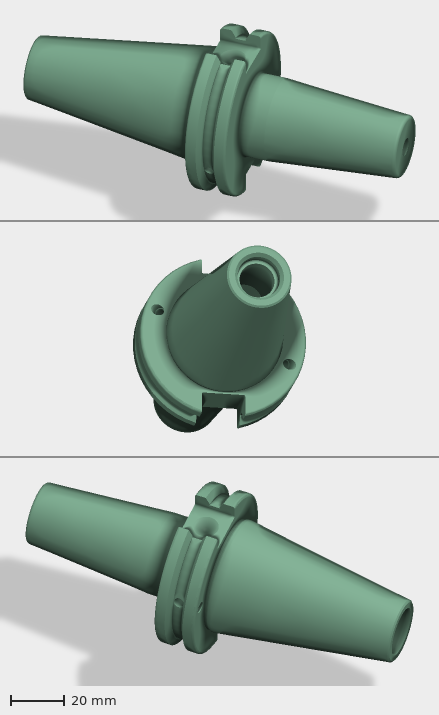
import cadquery as cq
import math


length = 148.2
gauge_x = 68.3
gauge_diameter = 44.5
taper_ratio = 7 / 24
taper_chamfer = 0.6

collar_end_x = 69.5
relief_start_x = 70.4
relief_diameter = 43.6

flange_x = 71.3
flange_width = 16.2
flange_diameter = 63.5
flange_fillet = 1.0

groove_center_x = 79.5
groove_width = 4.0
groove_floor_diameter = 56.6
groove_wall_height = 0.6
groove_slope = math.radians(30)

neck_diameter = 32.0
neck_fillet = 0.7
neck_end_x = 97.5
nose_diameter = 24.2
nose_fillet = 1.3

slot_width = 16.6
slot_top_z = 24.8
slot_bottom_z = 22.5
slot_corner = 0.6
dimple_diameter = 9.5
dimple_tip_angle = math.radians(118)

mouth_diameter = 18.7
mouth_depth = 1.5
pilot_diameter = 16.3
pilot_end_x = 5.0
thread_diameter = 13.3
thread_end_x = 29.6
drill_tip_angle = math.radians(118)
through_diameter = 7.0

coolant_roll = 20.0
coolant_radius = 26.8
coolant_slope = math.radians(35)
coolant_mouth_diameter = 4.2
coolant_mouth_depth = 2.2
coolant_diameter = 3.3
coolant_depth = 11.9
groove_hole_diameter = 3.9
groove_hole_depth = 8.9

flange_end_x = flange_x + flange_width
flange_radius = flange_diameter / 2
groove_floor_radius = groove_floor_diameter / 2
groove_wall_radius = groove_floor_radius + groove_wall_height
groove_half = groove_width / 2
groove_flank = (flange_radius - groove_wall_radius) * math.tan(groove_slope)
taper_small_radius = (gauge_diameter - gauge_x * taper_ratio) / 2


def revolve_about_x(profile):
    return profile.close().revolve(360, (0, 0, 0), (1, 0, 0))


def arc_point(center_x, center_r, radius, degrees):
    angle = math.radians(degrees)
    return (center_x + radius * math.cos(angle), center_r + radius * math.sin(angle))


def make_body():
    """Taper, gripper flange and neck as one turned profile."""
    rim = flange_radius - flange_fillet
    neck_radius = neck_diameter / 2
    left_center_x = flange_x + flange_fillet
    right_center_x = flange_end_x - flange_fillet
    foot_x = flange_end_x + neck_fillet
    foot_r = neck_radius + neck_fillet
    profile = (
        cq.Workplane("XY")
        .moveTo(0, 0)
        .lineTo(0, taper_small_radius - taper_chamfer)
        .lineTo(taper_chamfer, taper_small_radius + taper_chamfer * taper_ratio / 2)
        .lineTo(gauge_x, gauge_diameter / 2)
        .lineTo(collar_end_x, gauge_diameter / 2)
        .lineTo(relief_start_x, relief_diameter / 2)
        .lineTo(flange_x, relief_diameter / 2)
        .lineTo(flange_x, rim)
        .threePointArc(arc_point(left_center_x, rim, flange_fillet, 135), (left_center_x, flange_radius))
        .lineTo(groove_center_x - groove_half - groove_flank, flange_radius)
        .lineTo(groove_center_x - groove_half, groove_wall_radius)
        .lineTo(groove_center_x - groove_half, groove_floor_radius)
        .lineTo(groove_center_x + groove_half, groove_floor_radius)
        .lineTo(groove_center_x + groove_half, groove_wall_radius)
        .lineTo(groove_center_x + groove_half + groove_flank, flange_radius)
        .lineTo(right_center_x, flange_radius)
        .threePointArc(arc_point(right_center_x, rim, flange_fillet, 45), (flange_end_x, rim))
        .lineTo(flange_end_x, foot_r)
        .threePointArc(arc_point(foot_x, foot_r, neck_fillet, 225), (foot_x, neck_radius))
        .lineTo(neck_end_x, neck_radius)
        .lineTo(length, nose_diameter / 2)
        .lineTo(length, 0)
    )
    return revolve_about_x(profile).faces(">X").edges().fillet(nose_fillet)


def make_bore():
    """Stepped bore from the taper end, with a drill-point cone down to the through hole."""
    thread_radius = thread_diameter / 2
    through_radius = through_diameter / 2
    cone_length = (thread_radius - through_radius) / math.tan(drill_tip_angle / 2)
    profile = (
        cq.Workplane("XY")
        .moveTo(0, 0)
        .lineTo(0, mouth_diameter / 2)
        .lineTo(mouth_depth, pilot_diameter / 2)
        .lineTo(pilot_end_x, pilot_diameter / 2)
        .lineTo(pilot_end_x, thread_radius)
        .lineTo(thread_end_x, thread_radius)
        .lineTo(thread_end_x + cone_length, through_radius)
        .lineTo(length, through_radius)
        .lineTo(length, 0)
    )
    return revolve_about_x(profile)


def make_slot(floor_z):
    """Drive slot across the flange, open towards +Z, with rounded floor corners."""
    slot = cq.Workplane("XY").box(flange_width, slot_width, flange_radius, centered=(False, True, False))
    return slot.edges("|X and <Z").fillet(slot_corner).translate((flange_x, 0, floor_z))


def make_dimple():
    """Conical drill-point dimple in the upper slot floor."""
    radius = dimple_diameter / 2
    depth = radius / math.tan(dimple_tip_angle / 2)
    top = cq.Vector(groove_center_x, 0, slot_top_z)
    return cq.Solid.makeCone(radius, 0, depth, top, cq.Vector(0, 0, -1))


def make_coolant_holes(roll):
    """Stepped sloping hole from the flange face and the radial hole from the groove floor."""
    entry = cq.Vector(flange_x, coolant_radius, 0)
    inward = cq.Vector(math.cos(coolant_slope), -math.sin(coolant_slope), 0)
    start = entry - inward * coolant_mouth_diameter
    mouth_length = coolant_mouth_diameter + coolant_mouth_depth
    mouth = cq.Solid.makeCylinder(coolant_mouth_diameter / 2, mouth_length, start, inward)
    feed = cq.Solid.makeCylinder(coolant_diameter / 2, coolant_depth, entry, inward)
    floor_point = cq.Vector(groove_center_x, groove_floor_radius, 0)
    radial = cq.Solid.makeCylinder(
        groove_hole_diameter / 2, groove_hole_depth, floor_point, cq.Vector(0, -1, 0)
    )
    holes = cq.Workplane(mouth).union(cq.Workplane(feed)).union(cq.Workplane(radial))
    return holes.rotate((0, 0, 0), (1, 0, 0), roll)


lower_slot = make_slot(slot_bottom_z).rotate((0, 0, 0), (1, 0, 0), 180)

result = make_body().cut(make_bore()).cut(make_slot(slot_top_z)).cut(lower_slot).cut(make_dimple())
for half_turn in (0, 180):
    result = result.cut(make_coolant_holes(coolant_roll + half_turn))